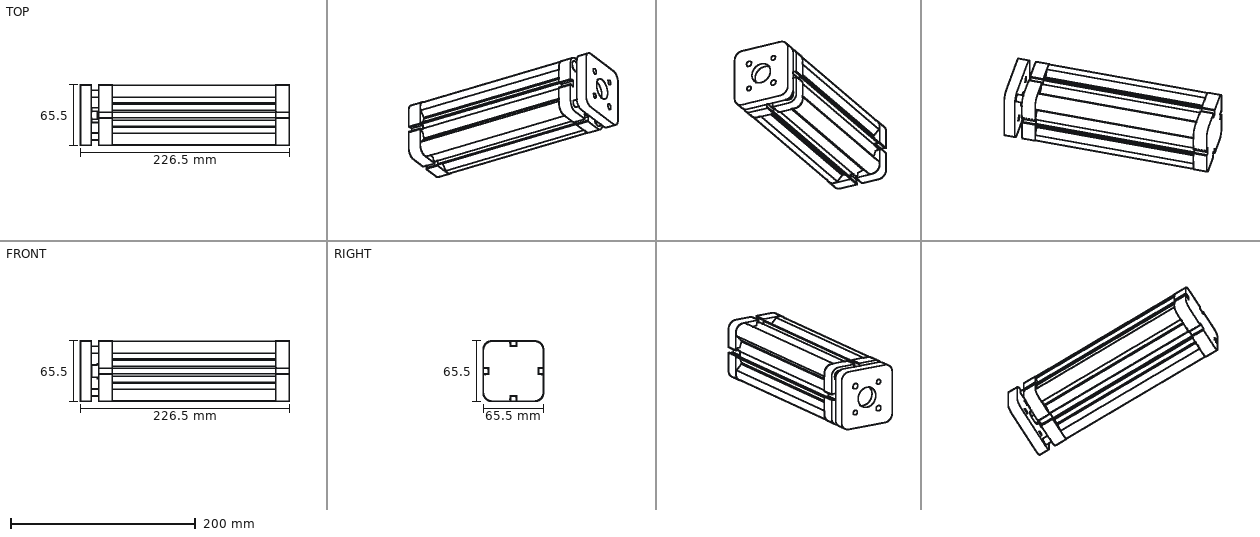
import cadquery as cq
import math

length = 226.5
side = 65.5
corner_radius = 9.5
plate_thickness = 12.0
gap = 8.0
cap_thickness = 14.7

cap_start = plate_thickness + gap
tube_start = cap_start + cap_thickness
tube_length = length - tube_start - cap_thickness

bore_diameter = 22.6
bore_depth = 7.5
hole_offset = 15.0
clearance_hole_diameter = 6.1
threaded_hole_diameter = 5.2

corner_offset = 23.0
rod_diameter = 8.0
screw_hole_diameter = 11.8
screw_hole_depth = 6.8

piston_diameter = 16.0
piston_chamfer = 0.7
flat_width = 13.4
flat_length = 6.1

slot_width = 6.1
cap_slot_floor = 26.7
cap_lip = 1.4
cap_slot_inner_width = 7.2
tube_slot_floor = 27.5
tube_slot_fillet = 0.7

lobe_radius = 9.3
lobe_edge = 19.5
valley_outer = 13.4
valley_inner = 12.0
web_radius = 27.9
rail_width = 11.0
rail_top_fillet = 1.0
rail_foot_fillet = 0.5
rail_height = 30.5


def at_x(x):
    """Workplane facing +X at x, with local x along Y and local y along Z."""
    return cq.Workplane("YZ").workplane(offset=x)


def square_block(x, thickness):
    """Rounded square block."""
    block = at_x(x).rect(side, side).extrude(thickness)
    return block.edges("|X").fillet(corner_radius)


def on_diagonal(offset, sign):
    """Two opposite corner points on one diagonal of the square."""
    return [(offset, sign * offset), (-offset, -sign * offset)]


def make_plate():
    """Front plate with a blind central bore and two pairs of through holes."""
    plate = square_block(0, plate_thickness)
    bore = at_x(0).circle(bore_diameter / 2).extrude(bore_depth)
    plate = plate.cut(bore)
    for diameter, sign in ((clearance_hole_diameter, 1), (threaded_hole_diameter, -1)):
        holes = at_x(0).pushPoints(on_diagonal(hole_offset, sign)).circle(diameter / 2)
        plate = plate.cut(holes.extrude(plate_thickness))
    return plate


def make_piston_rod():
    """Piston rod between plate and housing, with a chamfered end and two wrench flats."""
    rod = at_x(plate_thickness).circle(piston_diameter / 2).extrude(gap)
    rod = rod.faces("<X").chamfer(piston_chamfer)
    wrench_end = at_x(plate_thickness).rect(piston_diameter, flat_width).extrude(flat_length)
    round_end = at_x(plate_thickness + flat_length).circle(piston_diameter / 2).extrude(gap - flat_length)
    return rod.intersect(wrench_end.union(round_end))


def make_guide_rod(y, z):
    """Round guide rod between plate and housing."""
    return at_x(plate_thickness).center(y, z).circle(rod_diameter / 2).extrude(gap)


def turned(point, quarter):
    """Point in the cross-section turned by quarter turns about the tube axis."""
    y, z = point
    for _ in range(quarter):
        y, z = -z, y
    return (y, z)


def on_circle(radius, y):
    """Point above the given y on a circle about the tube axis."""
    return (y, math.sqrt(radius**2 - y**2))


def lobe_end():
    """Point where a lobe arc meets the 45 degree flank of the +Z side."""
    return (lobe_edge, corner_offset + math.sqrt(lobe_radius**2 - (corner_offset - lobe_edge) ** 2))


def fillet_sag(radius):
    """Distance of a right-angle fillet's midpoint from each of the two faces it joins."""
    return radius * (1 - math.sqrt(0.5))


def tube_half_side():
    """Outline moves from a lobe to the slot middle on the +Z side: (arc midpoint or None, end point)."""
    lobe_z = lobe_end()[1]
    wall_y = rail_width / 2
    foot_y, foot_z = on_circle(web_radius, wall_y + rail_foot_fillet)
    foot_sag = fillet_sag(rail_foot_fillet)
    top_sag = fillet_sag(rail_top_fillet)
    slot_y = slot_width / 2
    slot_sag = fillet_sag(tube_slot_fillet)
    return [
        (None, (valley_outer, lobe_z - (lobe_edge - valley_outer))),
        (None, on_circle(web_radius, valley_inner)),
        (on_circle(web_radius, (valley_inner + foot_y) / 2), (foot_y, foot_z)),
        ((wall_y + foot_sag, foot_z + foot_sag), (wall_y, foot_z + rail_foot_fillet)),
        (None, (wall_y, rail_height - rail_top_fillet)),
        ((wall_y - top_sag, rail_height - top_sag), (wall_y - rail_top_fillet, rail_height)),
        (None, (slot_y, rail_height)),
        (None, (slot_y, tube_slot_floor + tube_slot_fillet)),
        (
            (slot_y - slot_sag, tube_slot_floor + slot_sag),
            (slot_y - tube_slot_fillet, tube_slot_floor),
        ),
    ]


def add_segment(outline, middle, end, quarter):
    """Add a line, or an arc through a middle point, turned into the given quarter."""
    if middle is None:
        return outline.lineTo(*turned(end, quarter))
    return outline.threePointArc(turned(middle, quarter), turned(end, quarter))


def mirror(point):
    """Point reflected to the other side of Y = 0; None stays None."""
    return None if point is None else (-point[0], point[1])


def make_tube():
    """Extrusion with four corner lobes and a slotted rail in the middle of each side."""
    half = tube_half_side()
    starts = [lobe_end()] + [end for _, end in half[:-1]]
    floor_corner = half[-1][1]
    lobe_tip = corner_offset + lobe_radius * math.sqrt(0.5)
    outline = at_x(tube_start).moveTo(*lobe_end())
    for quarter in range(4):
        for middle, end in half:
            outline = add_segment(outline, middle, end, quarter)
        outline = add_segment(outline, None, mirror(floor_corner), quarter)
        for (middle, _), start in zip(reversed(half), reversed(starts)):
            outline = add_segment(outline, mirror(middle), mirror(start), quarter)
        outline = outline.threePointArc(
            turned((-lobe_tip, lobe_tip), quarter), turned(lobe_end(), quarter + 1)
        )
    return outline.close().extrude(tube_length)


def slot_block(x, width, bottom, top):
    """Block through the thickness of a cap, centred on Y between two heights."""
    return at_x(x).center(0, (bottom + top) / 2).rect(width, top - bottom).extrude(cap_thickness)


def make_cap(x):
    """Rounded end cap with a lipped slot in the middle of each side."""
    cap = square_block(x, cap_thickness)
    lip_z = side / 2 - cap_lip
    mouth = slot_block(x, slot_width, cap_slot_floor, side / 2)
    pocket = slot_block(x, cap_slot_inner_width, cap_slot_floor, lip_z)
    slot = mouth.union(pocket)
    for quarter in range(4):
        cap = cap.cut(slot.rotate((0, 0, 0), (1, 0, 0), 90 * quarter))
    return cap


def make_housing():
    """Slotted tube with its two end caps; the front cap has two blind screw holes."""
    front_cap = make_cap(cap_start)
    hole_centers = at_x(cap_start).pushPoints(on_diagonal(corner_offset, 1))
    screw_holes = hole_centers.circle(screw_hole_diameter / 2).extrude(screw_hole_depth)
    front_cap = front_cap.cut(screw_holes)
    return make_tube().union(front_cap).union(make_cap(length - cap_thickness))


plate = make_plate()
piston_rod = make_piston_rod()
guide_rods = [make_guide_rod(y, z) for y, z in on_diagonal(corner_offset, -1)]
housing = make_housing()

result = cq.Compound.makeCompound(
    [plate.val(), piston_rod.val(), *[rod.val() for rod in guide_rods], housing.val()]
)